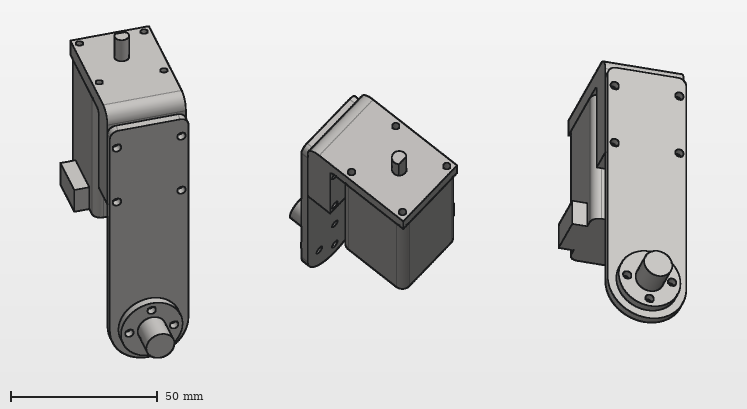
import cadquery as cq


motor_width = 28.0
motor_height = 50.0
motor_corner_radius = 3.2
shaft_diameter = 5.0
shaft_projection = 9.0
shaft_flat_offset = 1.6
connector_width = 16.1
connector_height = 9.3
connector_depth = 5.4

bracket_top_thickness = 6.0
leg_thickness = 10.0
leg_length = 33.0
motor_to_leg_gap = 5.0
outer_bend_radius = 5.0
inner_bend_radius = 1.9
screw_spacing = 23.0
screw_hole_diameter = 2.5
leg_hole_diameter = 3.0
leg_hole_center_drop = 18.8

arm_thickness = 3.0
arm_length = 99.0
arm_corner_radius = 3.0

flange_diameter = 22.0
flange_thickness = 3.0
stub_diameter = 10.0
stub_length = 10.0
flange_hole_circle_radius = 8.0
flange_hole_diameter = 3.0

motor_half = motor_width / 2
shaft_length = bracket_top_thickness + shaft_projection
leg_inner_x = motor_half + motor_to_leg_gap
arm_x = leg_inner_x + leg_thickness
flange_x = arm_x + arm_thickness
arm_end_radius = motor_half
flange_z = arm_end_radius - arm_length


def facing_x(x, z):
    """Workplane with normal +X, centred at (x, 0, z); local x is +Y and local y is +Z."""
    return cq.Workplane("YZ", origin=(x, 0, z))


def flange_holes(x, depth):
    """Four holes around the flange axis, running from x in the +X direction."""
    return (
        facing_x(x, flange_z)
        .polarArray(flange_hole_circle_radius, 0, 360, 4)
        .circle(flange_hole_diameter / 2)
        .extrude(depth)
    )


def leg_holes(x, depth):
    """Square pattern of four holes joining leg and arm, running from x in the +X direction."""
    return (
        facing_x(x, -leg_hole_center_drop)
        .rarray(screw_spacing, screw_spacing, 2, 2)
        .circle(leg_hole_diameter / 2)
        .extrude(depth)
    )


def make_motor():
    """Motor case with its D-shaped shaft and side connector."""
    case = (
        cq.Workplane("XY")
        .rect(motor_width, motor_width)
        .extrude(-motor_height)
        .edges("|Z")
        .fillet(motor_corner_radius)
    )
    connector = (
        cq.Workplane("XY")
        .box(connector_width, motor_half + connector_depth, connector_height, centered=(True, False, False))
        .translate((0, -motor_half - connector_depth, -motor_height))
    )
    flat_cutter = (
        cq.Workplane("XY")
        .box(shaft_diameter, shaft_diameter, shaft_length, centered=(True, True, False))
        .translate((-shaft_flat_offset - shaft_diameter / 2, 0, 0))
    )
    shaft = cq.Workplane("XY").circle(shaft_diameter / 2).extrude(shaft_length).cut(flat_cutter)
    return case.union(connector).union(shaft)


def make_bracket():
    """L-shaped bracket: a plate over the motor and a thick leg beside it."""
    body = (
        cq.Workplane("XZ", origin=(0, motor_half, 0))
        .moveTo(-motor_half, 0)
        .lineTo(-motor_half, bracket_top_thickness)
        .lineTo(arm_x - outer_bend_radius, bracket_top_thickness)
        .radiusArc((arm_x, bracket_top_thickness - outer_bend_radius), outer_bend_radius)
        .lineTo(arm_x, -leg_length)
        .lineTo(leg_inner_x, -leg_length)
        .lineTo(leg_inner_x, -inner_bend_radius)
        .radiusArc((leg_inner_x - inner_bend_radius, 0), -inner_bend_radius)
        .close()
        .extrude(motor_width)
    )
    shaft_hole = cq.Workplane("XY").circle(shaft_diameter / 2).extrude(bracket_top_thickness)
    motor_screw_holes = (
        cq.Workplane("XY")
        .rarray(screw_spacing, screw_spacing, 2, 2)
        .circle(screw_hole_diameter / 2)
        .extrude(bracket_top_thickness)
    )
    return body.cut(shaft_hole).cut(motor_screw_holes).cut(leg_holes(leg_inner_x, leg_thickness))


def make_arm():
    """Flat arm with rounded upper corners and a full round at the flange end."""
    straight = (
        cq.Workplane("XY")
        .box(arm_thickness, motor_width, -flange_z, centered=(False, True, False))
        .translate((arm_x, 0, flange_z))
        .edges("|X and >Z")
        .fillet(arm_corner_radius)
    )
    round_end = facing_x(arm_x, flange_z).circle(arm_end_radius).extrude(arm_thickness)
    return (
        straight.union(round_end)
        .cut(leg_holes(arm_x, arm_thickness))
        .cut(flange_holes(arm_x, arm_thickness))
    )


def make_output_flange():
    """Round flange with a central stub shaft."""
    disc = facing_x(flange_x, flange_z).circle(flange_diameter / 2).extrude(flange_thickness)
    stub = (
        facing_x(flange_x + flange_thickness, flange_z)
        .circle(stub_diameter / 2)
        .extrude(stub_length)
    )
    return disc.union(stub).cut(flange_holes(flange_x, flange_thickness))


motor = make_motor()
bracket = make_bracket()
arm = make_arm()
output_flange = make_output_flange()

result = cq.Compound.makeCompound([motor.val(), bracket.val(), arm.val(), output_flange.val()])